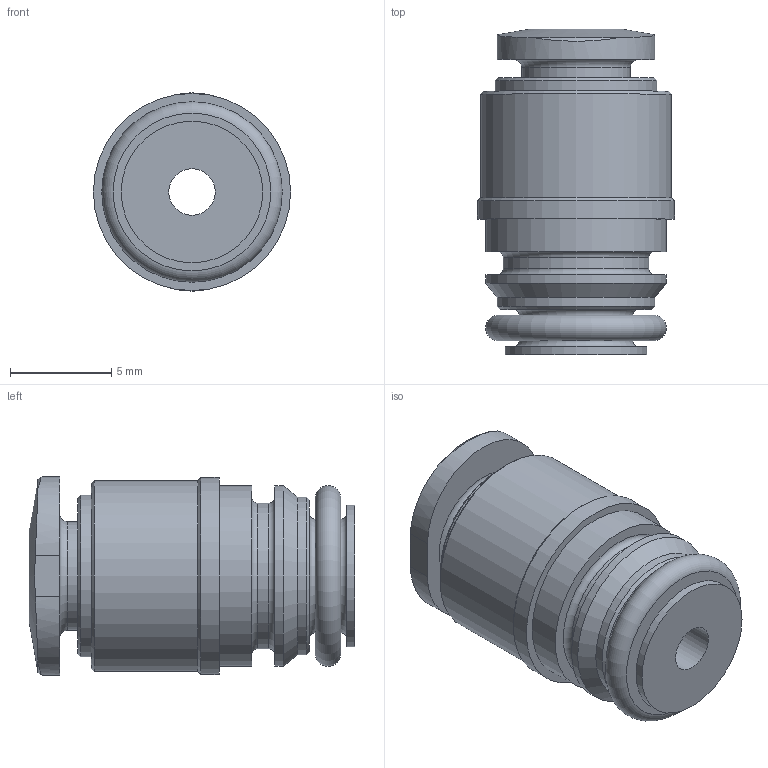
import cadquery as cq
import math


total_length = 16.1
bore_radius = 2.3 / 2

tip_radius = 7.0 / 2
tip_length = 0.4
seal_groove_radius = 5.6 / 2
seal_groove_end = 2.24
groove_fillet = 0.3

ring_outer_radius = 8.93 / 2
ring_side_radius = 7.8 / 2
ring_width = 1.26
ring_center = (tip_length + seal_groove_end) / 2

step_radius = 7.8 / 2
cone_start = 2.83
cone_end = 3.53
collar_end = 3.96

rear_groove_radius = 7.2 / 2
rear_groove_end = 5.1

front_body_radius = 8.93 / 2
band_radius = 9.75 / 2
band_start = 6.71
band_end = 7.77
body_radius = 9.45 / 2
body_end = 13.04
rear_step_radius = 8.0 / 2
rear_step_end = 13.7
edge_chamfer = 0.15

neck_radius = 5.37 / 2
neck_fillet = 0.4
button_start = 14.6
button_width = 7.8
button_height = 9.8
crown_flat_radius = 2.3
crown_rim_radius = 4.78
crown_drop = 0.43
rim_bevel_drop = 0.17


def fillet_into_wall(profile, radius, wall, fillet):
    """Curve from a groove floor out to the wall at the groove's far end."""
    arc_offset = fillet * (1 - math.sqrt(0.5))
    return (
        profile.lineTo(radius, wall - fillet)
        .threePointArc((radius + arc_offset, wall - arc_offset), (radius + fillet, wall))
    )


def fillet_from_wall(profile, radius, wall, fillet):
    """Curve from the wall at the groove's near end in to the groove floor."""
    arc_offset = fillet * (1 - math.sqrt(0.5))
    return (
        profile.lineTo(radius + fillet, wall)
        .threePointArc((radius + arc_offset, wall + arc_offset), (radius, wall + fillet))
    )


def chamfered_end(profile, radius, end):
    """Cylinder running to its far end, where the edge is chamfered."""
    return profile.lineTo(radius, end - edge_chamfer).lineTo(radius - edge_chamfer, end)


def revolve_about_y(profile):
    return profile.close().revolve(360, (0, 0, 0), (0, 1, 0))


def make_body():
    profile = cq.Workplane("XY").moveTo(0, 0).lineTo(tip_radius, 0).lineTo(tip_radius, tip_length)
    profile = fillet_from_wall(profile, seal_groove_radius, tip_length, groove_fillet)
    profile = fillet_into_wall(profile, seal_groove_radius, seal_groove_end, groove_fillet)
    profile = (
        profile.lineTo(step_radius - edge_chamfer, seal_groove_end)
        .lineTo(step_radius, seal_groove_end + edge_chamfer)
        .lineTo(step_radius, cone_start)
        .lineTo(front_body_radius, cone_end)
        .lineTo(front_body_radius, collar_end)
    )
    profile = fillet_from_wall(profile, rear_groove_radius, collar_end, groove_fillet)
    profile = fillet_into_wall(profile, rear_groove_radius, rear_groove_end, groove_fillet)
    profile = (
        profile.lineTo(front_body_radius, rear_groove_end)
        .lineTo(front_body_radius, band_start)
        .lineTo(band_radius, band_start)
        .lineTo(band_radius, band_end - edge_chamfer)
        .lineTo(body_radius, band_end)
    )
    profile = chamfered_end(profile, body_radius, body_end)
    profile = profile.lineTo(rear_step_radius, body_end)
    profile = chamfered_end(profile, rear_step_radius, rear_step_end)
    profile = profile.lineTo(neck_radius, rear_step_end)
    profile = fillet_into_wall(profile, neck_radius, button_start, neck_fillet)
    return revolve_about_y(profile.lineTo(0, button_start))


def make_ring():
    ring_front = ring_center - ring_width / 2
    ring_back = ring_center + ring_width / 2
    profile = (
        cq.Workplane("XY")
        .moveTo(0, ring_front)
        .lineTo(ring_side_radius, ring_front)
        .threePointArc((ring_outer_radius, ring_center), (ring_side_radius, ring_back))
        .lineTo(0, ring_back)
    )
    return revolve_about_y(profile)


def make_button():
    """Obround button whose rear face is a shallow cone with a bevelled rim."""
    outline = (
        cq.Workplane("XZ", origin=(0, button_start, 0))
        .slot2D(button_height, button_width, 90)
        .extrude(button_start - total_length)
    )
    rim_radius = button_height / 2
    rim_level = total_length - crown_drop
    crown = (
        cq.Workplane("XY")
        .moveTo(0, button_start)
        .lineTo(rim_radius, button_start)
        .lineTo(rim_radius, rim_level - rim_bevel_drop)
        .lineTo(crown_rim_radius, rim_level)
        .lineTo(crown_flat_radius, total_length)
        .lineTo(0, total_length)
    )
    return outline.intersect(revolve_about_y(crown))


def make_bore():
    return cq.Workplane("XZ").circle(bore_radius).extrude(-total_length)


result = make_body().union(make_ring()).union(make_button()).cut(make_bore())